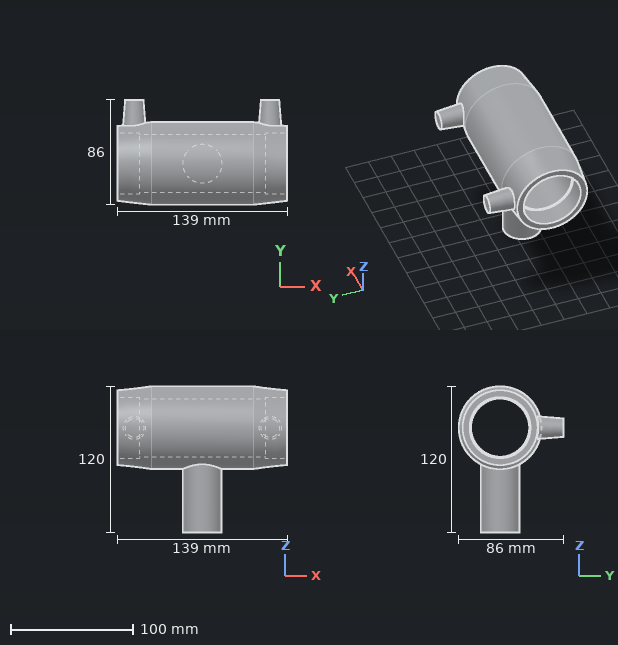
import cadquery as cq

length = 139.0
barrel_diameter = 68.0
end_diameter = 61.5
taper_length = 27.8

socket_diameter = 50.0
bore_diameter = 47.5
socket_depth = 17.8

stem_diameter = 32.0
overall_height = 120.0
stem_reach = overall_height - barrel_diameter / 2
terminal_tip_diameter = 15.3
terminal_base_diameter = 18.8
overall_width = 86.0
terminal_reach = overall_width - barrel_diameter / 2
terminal_height = 21.4
terminal_inset = 13.9

half_length = length / 2
barrel_radius = barrel_diameter / 2
end_radius = end_diameter / 2


def make_sleeve():
    barrel_end = half_length - taper_length
    return (
        cq.Workplane("XY")
        .moveTo(-half_length, 0)
        .lineTo(-half_length, end_radius)
        .lineTo(-barrel_end, barrel_radius)
        .lineTo(barrel_end, barrel_radius)
        .lineTo(half_length, end_radius)
        .lineTo(half_length, 0)
        .close()
        .revolve(360, (0, 0, 0), (1, 0, 0))
    )


def make_stem():
    return cq.Workplane("XY").circle(stem_diameter / 2).extrude(-stem_reach)


def make_terminal(x):
    """Cone narrowing to its tip, extended inward at the same slope to root in the wall."""
    tip_radius = terminal_tip_diameter / 2
    slope = (terminal_base_diameter / 2 - tip_radius) / terminal_height
    root_y = (end_radius + socket_diameter / 2) / 2
    cone_height = terminal_reach - root_y
    root_radius = tip_radius + slope * cone_height
    cone = cq.Solid.makeCone(
        root_radius, tip_radius, cone_height, cq.Vector(x, root_y, 0), cq.Vector(0, 1, 0)
    )
    return cq.Workplane(obj=cone)


def make_bore():
    bore = cq.Workplane("YZ", origin=(-half_length, 0, 0)).circle(bore_diameter / 2).extrude(length)
    for start in (-half_length, half_length - socket_depth):
        socket = cq.Workplane("YZ", origin=(start, 0, 0)).circle(socket_diameter / 2).extrude(socket_depth)
        bore = bore.union(socket)
    return bore


body = make_sleeve().union(make_stem())
for side in (-1, 1):
    body = body.union(make_terminal(side * (half_length - terminal_inset)))

result = body.cut(make_bore())